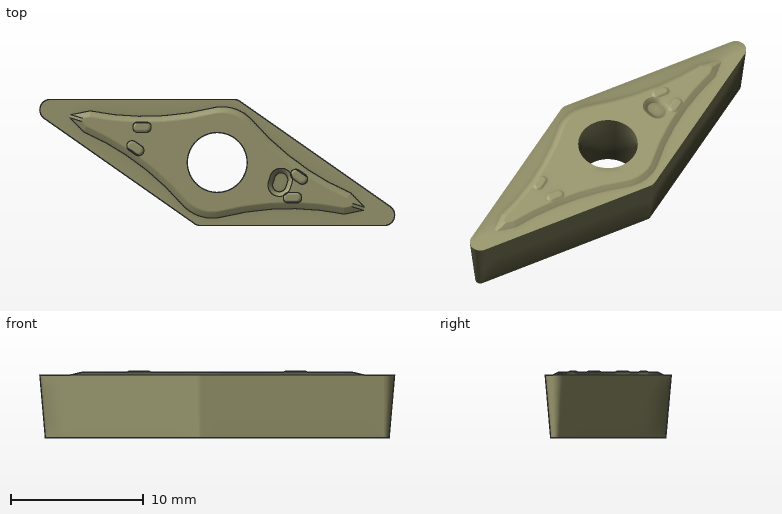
import cadquery as cq
import math

overall_length = 26.75
inscribed_diameter = 9.53
acute_angle = 35.0
clearance_angle = 5.0
plate_height = 4.74
hole_diameter = 4.5

plateau_top = 4.95
flank_run = 0.45
rim_radius = 0.21
tip_chamfer = 0.13
tip_reach = 11.83
neck = (10.3, 0.83)
shoulder = (1.6, 3.8)
crown_reach = 4.25

pad_top = 5.03
pad_length = 1.4
pad_width = 0.8
pad_flank_run = 0.15
pad_rim_radius = 0.21
pad_along = 6.2
pad_across = 0.83

dimple_along = 4.98
dimple_length = 2.15
dimple_width = 1.7
dimple_flank_run = 0.35
dimple_depth = 0.27

half_acute = acute_angle / 2
half_acute_rad = math.radians(half_acute)


def taper_for(run, height):
    """Taper angle of a flank with the given horizontal run and height."""
    return math.degrees(math.atan2(run, height))


def along_diagonal(body):
    """Turn a body built on the X axis onto the long diagonal of the plate."""
    return body.rotate((0, 0, 0), (0, 0, 1), -half_acute)


def make_plate():
    inscribed_radius = inscribed_diameter / 2
    long_half = inscribed_radius / math.sin(half_acute_rad)
    short_half = inscribed_radius / math.cos(half_acute_rad)
    tip_excess = inscribed_radius / math.tan(half_acute_rad) - overall_length / 2
    corner_radius = tip_excess / (1 / math.tan(half_acute_rad) - 1)
    corners = [(long_half, 0), (0, short_half), (-long_half, 0), (0, -short_half)]
    sharp_rhombus = cq.Wire.makePolygon([cq.Vector(*corner) for corner in corners], close=True)
    rhombus = sharp_rhombus.fillet2D(corner_radius, sharp_rhombus.Vertices())
    plate = (
        cq.Workplane("XY").add(rhombus).toPending()
        .extrude(-plate_height, taper=clearance_angle)
        .translate((0, 0, plate_height))
    )
    return along_diagonal(plate)


def concave_side_middle():
    """Middle of the concave side arc that leaves the crown arc tangentially at the shoulder."""
    crown_slope = 2 * math.atan2(crown_reach - shoulder[1], shoulder[0])
    run = neck[0] - shoulder[0]
    drop = shoulder[1] - neck[1]
    bulge = math.tan((crown_slope - math.atan2(drop, run)) / 2) / 2
    middle_x = (neck[0] + shoulder[0]) / 2 - bulge * drop
    middle_y = (neck[1] + shoulder[1]) / 2 - bulge * run
    return (middle_x, middle_y)


def make_plateau():
    def at(point, side_x, side_y):
        return (side_x * point[0], side_y * point[1])

    waist = concave_side_middle()
    outline = cq.Workplane("XY", origin=(0, 0, plate_height)).moveTo(tip_reach, 0)
    for side in (1, -1):
        outline = (
            outline.lineTo(*at(neck, side, side))
            .threePointArc(at(waist, side, side), at(shoulder, side, side))
            .threePointArc((0, side * crown_reach), at(shoulder, -side, side))
            .threePointArc(at(waist, -side, side), at(neck, -side, side))
            .lineTo(-side * tip_reach, 0)
        )
    height = plateau_top - plate_height
    plateau = outline.close().extrude(height, taper=taper_for(flank_run, height))
    plateau = plateau.edges(">X or <X").chamfer(tip_chamfer)
    plateau = plateau.faces(">Z").edges().fillet(rim_radius)
    return along_diagonal(plateau)


def make_pads():
    height = pad_top - plateau_top
    pads = cq.Workplane("XY")
    for side_x in (1, -1):
        for side_y in (1, -1):
            pad = (
                cq.Workplane("XY")
                .slot2D(pad_length, pad_width)
                .extrude(height, taper=taper_for(pad_flank_run, height))
                .faces(">Z").edges().fillet(pad_rim_radius)
                .rotate((0, 0, 0), (0, 0, 1), -side_x * side_y * half_acute)
                .translate((side_x * pad_along, side_y * pad_across, plateau_top))
            )
            pads = pads.add(pad)
    return along_diagonal(pads.combine())


def make_dimple():
    dimple = (
        cq.Workplane("XY", origin=(dimple_along, 0, plateau_top))
        .slot2D(dimple_length, dimple_width, 90)
        .extrude(-dimple_depth, taper=taper_for(dimple_flank_run, dimple_depth))
    )
    return along_diagonal(dimple)


hole = cq.Workplane("XY").circle(hole_diameter / 2).extrude(pad_top)

result = make_plate().union(make_plateau()).cut(make_dimple()).union(make_pads()).cut(hole)